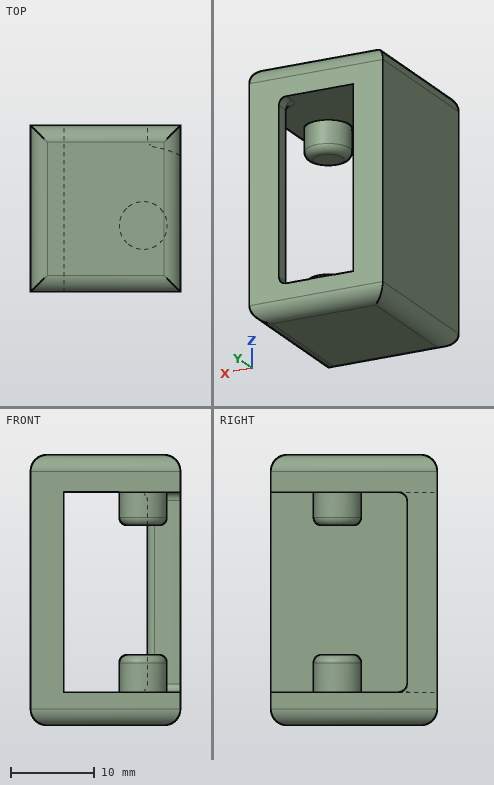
import cadquery as cq

WIDTH = 18.01
DEPTH = 20.0
HEIGHT = 32.5
OUTER_ROUND = 2.0

WALL = 4.0
ROOF = 4.5
CAVITY_HEIGHT = HEIGHT - WALL - ROOF
CAVITY_TOP = WALL + CAVITY_HEIGHT

PIN_DIAMETER = 5.75
PIN_INSET = 4.5
PIN_X = WIDTH - PIN_INSET
PIN_Y = 8.0
PIN_TIP_ROUND = 1.0
LOWER_PIN_LENGTH = 4.5
UPPER_PIN_LENGTH = 4.0

LIP_WIDTH = 4.0
LIP_START = WIDTH - LIP_WIDTH
LIP_THICKNESS = 2.5
LIP_ROUND = 1.0
LIP_HOLLOW_RADIUS = DEPTH - LIP_THICKNESS - PIN_Y


def make_block():
    """Solid block with rounded top and bottom rims and sharp upright edges."""
    block = cq.Workplane("XY").box(WIDTH, DEPTH, HEIGHT, centered=False)
    return block.faces("<Z or >Z").edges().fillet(OUTER_ROUND)


def make_cavity():
    """Opening through the block along Y, also open on the +X side."""
    return (
        cq.Workplane("XY", origin=(WALL, 0, WALL))
        .box(WIDTH - WALL, DEPTH, CAVITY_HEIGHT, centered=False)
    )


def make_lip():
    """Upright lip at the back of the opening, with a concave face towards the pins."""
    lip = (
        cq.Workplane("XY", origin=(LIP_START, PIN_Y, WALL))
        .box(LIP_WIDTH, DEPTH - PIN_Y, CAVITY_HEIGHT, centered=False)
    )
    hollow = (
        cq.Workplane("XY", origin=(PIN_X, PIN_Y, WALL))
        .circle(LIP_HOLLOW_RADIUS)
        .extrude(CAVITY_HEIGHT)
    )
    leading_edge = cq.selectors.NearestToPointSelector((LIP_START, DEPTH - LIP_THICKNESS, HEIGHT / 2))
    return lip.cut(hollow).edges("|Z").edges(leading_edge).fillet(LIP_ROUND)


def blend_lip(body):
    """Blend the lip's inner faces into the floor and the ceiling of the cavity."""
    for z in (WALL, CAVITY_TOP):
        hollow_edge = cq.selectors.NearestToPointSelector(
            (WIDTH - LIP_WIDTH / 2, DEPTH - LIP_THICKNESS, z)
        )
        body = body.edges(hollow_edge).fillet(LIP_ROUND)
    return body


def make_pin(base_z, length):
    """Pin with a rounded tip; a negative length points down."""
    tip = ">Z" if length > 0 else "<Z"
    return (
        cq.Workplane("XY", origin=(PIN_X, PIN_Y, base_z))
        .circle(PIN_DIAMETER / 2)
        .extrude(length)
        .faces(tip)
        .edges()
        .fillet(PIN_TIP_ROUND)
    )


bracket = blend_lip(make_block().cut(make_cavity()).union(make_lip()))
lower_pin = make_pin(WALL, LOWER_PIN_LENGTH)
upper_pin = make_pin(CAVITY_TOP, -UPPER_PIN_LENGTH)
result = bracket.union(lower_pin).union(upper_pin)